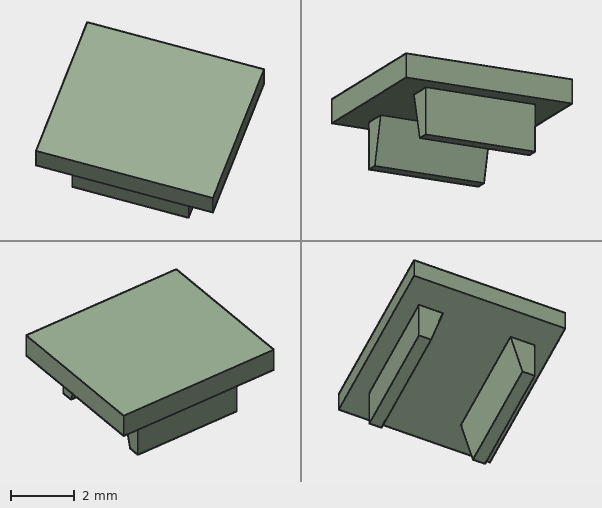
import cadquery as cq

plate_length = 5.85
plate_width = 5.2
plate_thickness = 0.8

total_height = 2.36
leg_height = total_height - plate_thickness
leg_length = 3.85
leg_outer_span = 3.98
leg_root_thickness = 0.83
leg_tip_thickness = 0.42


def make_plate():
    """Flat rectangular plate with its underside at Z = 0."""
    return cq.Workplane("XY").box(
        plate_length, plate_width, plate_thickness, centered=(True, True, False)
    )


def make_leg(side):
    """Leg with a vertical outer face and a sloped inner face; side is -1 or +1 along Y."""
    outer_y = leg_outer_span / 2
    profile = [
        (side * outer_y, 0),
        (side * outer_y, -leg_height),
        (side * (outer_y - leg_tip_thickness), -leg_height),
        (side * (outer_y - leg_root_thickness), 0),
    ]
    return cq.Workplane("YZ").polyline(profile).close().extrude(leg_length / 2, both=True)


result = make_plate()
for side in (-1, 1):
    result = result.union(make_leg(side))